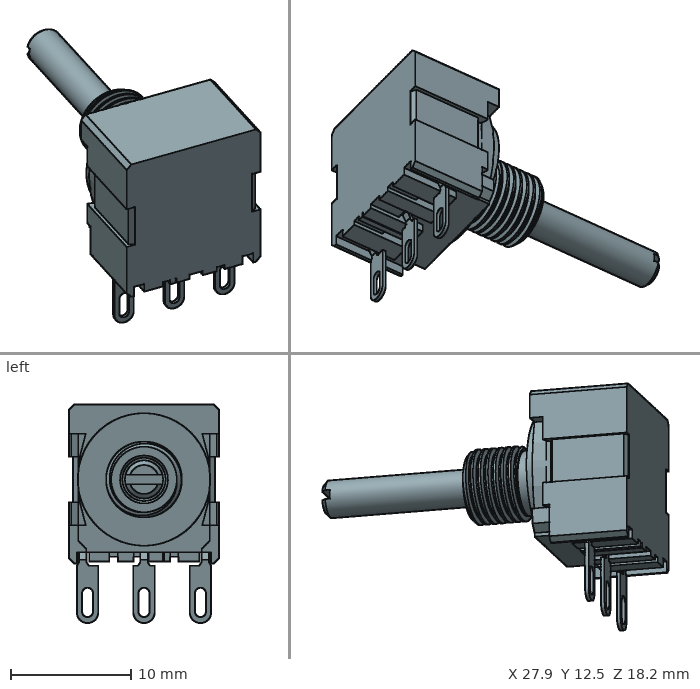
import cadquery as cq


flange_thickness = 0.5
flange_radius = 5.52
body_length = 8.41
overall_length = 27.94
shaft_length = overall_length - body_length - flange_thickness
shaft_radius = 3.175 / 2
shaft_chamfer = 0.38
driver_slot_depth = 0.8
driver_slot_width = 0.76
bushing_length = 6.35
neck_length = 1.57
neck_radius = 2.73
thread_crest_radius = 3.16
thread_pitch = 0.654
thread_lead_in = 0.23
thread_crest_width = 0.2
thread_base_width = 0.58
thread_runout = 0.35
thread_overlap = 0.1
bore_radius = 1.8
bore_chamfer = 0.2

body_half_width = 6.25
body_top = 6.25
body_bottom = -7.0
edge_chamfer = 0.43
core_half_width = 5.47
core_bottom = -6.08
core_corner_chamfer = 0.65
core_corner_rise = 0.31
leg_inner = 5.57
leg_front = 1.7

recess_half_height = 1.88
recess_face = 5.93
recess_slope_front = 1.61
recess_slope_run = 0.27
recess_slope_rear = 8.35

notch_half_height = 3.82
notch_depth = 1.12
notch_inner_depth = 1.35
notch_lip = 6.05
plate_thickness = 1.19
plate_edge_inner = 4.85
plate_edge_middle = 5.35
plate_edge_flat = 0.3

terminal_spacing = 4.7
terminal_front = 4.6
terminal_thickness = 0.32
terminal_width = 1.8
terminal_tip = -11.97
terminal_shoulder = -7.17
eyelet_width = 0.9
eyelet_top = -9.03
eyelet_bottom = -11.45
neck_width = 0.65
outer_neck_shift = 0.4
bend_height = -6.68
bend_offset = 0.35
flare_height = 0.27
neck_embed = 0.3

wafer_blocks = [(2.89, 4.58), (0.87, 2.17), (-1.58, -0.38), (-2.17, -1.67), (-4.61, -2.86)]
wafer_front = 3.2
wafer_bottom = -6.85
web_bottom = -6.44
web_half_width = 2.89
web_front = 5.6


def box(x_range, y_range, z_range):
    """Axis-aligned box between pairs of limits."""
    size = [end - start for start, end in (x_range, y_range, z_range)]
    origin = (x_range[0], y_range[0], z_range[0])
    return cq.Workplane("XY").box(*size, centered=False).translate(origin)


def rod(start, end, radius):
    """Cylinder on the X axis."""
    return cq.Workplane("YZ", origin=(start, 0, 0)).circle(radius).extrude(end - start)


def both_sides(shape):
    """The shape together with its mirror image across the XZ plane."""
    return shape.union(shape.mirror("XZ"))


def plan_prism(points, z_range):
    """Prism along Z from an outline in X and Y."""
    base = cq.Workplane("XY", origin=(0, 0, z_range[0]))
    return base.polyline(points).close().extrude(z_range[1] - z_range[0])


def make_housing():
    body = box((0, body_length), (-body_half_width, body_half_width), (body_bottom, body_top))
    body = body.edges("|X").chamfer(edge_chamfer)

    body = body.cut(box((0, body_length), (-leg_inner, leg_inner), (body_bottom, core_bottom)))

    outside = body_half_width
    recess = plan_prism(
        [
            (0, outside),
            (0, core_half_width),
            (recess_slope_front, core_half_width),
            (recess_slope_front + recess_slope_run, recess_face),
            (recess_slope_rear - recess_slope_run, recess_face),
            (recess_slope_rear, core_half_width),
            (body_length, core_half_width),
            (body_length, outside),
        ],
        (-recess_half_height, recess_half_height),
    )
    notch = plan_prism(
        [
            (0, outside),
            (0, core_half_width),
            (notch_inner_depth, core_half_width),
            (notch_depth, notch_lip),
            (notch_depth, outside),
        ],
        (-notch_half_height, notch_half_height),
    )
    leg_clearance = box((0, leg_front), (core_half_width, outside), (body_bottom, -notch_half_height))
    plate_edge = (
        cq.Workplane("YZ")
        .moveTo(leg_inner, notch_half_height)
        .lineTo(plate_edge_inner, notch_half_height)
        .lineTo(plate_edge_middle, recess_half_height)
        .lineTo(core_half_width, plate_edge_flat)
        .lineTo(core_half_width, -plate_edge_flat)
        .lineTo(plate_edge_middle, -recess_half_height)
        .lineTo(plate_edge_inner, -notch_half_height)
        .lineTo(leg_inner, -notch_half_height)
        .close()
        .extrude(plate_thickness)
    )
    corner = (
        cq.Workplane("YZ")
        .moveTo(core_half_width, core_bottom)
        .lineTo(core_half_width, core_bottom + core_corner_rise + core_corner_chamfer)
        .lineTo(core_half_width - core_corner_chamfer, core_bottom + core_corner_rise)
        .lineTo(core_half_width - core_corner_chamfer, core_bottom)
        .close()
        .extrude(leg_front)
    )
    for cutter in (recess, notch, leg_clearance, plate_edge, corner):
        body = body.cut(both_sides(cutter))
    return body


def helix(start, length, radius):
    """Right-handed helix around the X axis."""
    wire = cq.Wire.makeHelix(thread_pitch, length, radius)
    return wire.rotate(cq.Vector(0, 0, 0), cq.Vector(0, 1, 0), 90).translate(cq.Vector(start, 0, 0))


def make_thread_ridge(start, length):
    """Helical ridge with a trapezoid section, closed by flat ends."""
    base_radius = neck_radius - thread_overlap
    section = [
        (-thread_base_width / 2, base_radius),
        (-thread_crest_width / 2, thread_crest_radius),
        (thread_crest_width / 2, thread_crest_radius),
        (thread_base_width / 2, base_radius),
    ]
    rails = [helix(start + shift, length, radius) for shift, radius in section]
    faces = []
    for index, rail in enumerate(rails):
        next_rail = rails[(index + 1) % len(rails)]
        faces.extend(cq.Face.makeRuledSurface(rail, next_rail).Faces())
    for end in (0, 1):
        corners = [rail.positionAt(end) for rail in rails]
        faces.append(cq.Face.makeFromWires(cq.Wire.makePolygon(corners, close=True)))
    return cq.Workplane(obj=cq.Solid.makeSolid(cq.Shell.makeShell(faces)).fix())


def make_thread(start, end):
    """Thread core and ridge trimmed to the threaded length and its end chamfers."""
    ridge = make_thread_ridge(start - thread_lead_in, end - start + thread_pitch)
    envelope_radius = thread_crest_radius + thread_overlap
    envelope = rod(start, end, envelope_radius)
    envelope = envelope.faces("<X").chamfer(envelope_radius - neck_radius)
    envelope = envelope.faces(">X").chamfer(thread_runout)
    core = rod(start, end, neck_radius).intersect(envelope)
    return core.union(ridge.intersect(envelope))


def make_bushing():
    face = -flange_thickness
    front = face - bushing_length
    thread_end = face - neck_length
    flange = rod(face, 0, flange_radius)
    neck = rod(thread_end, face, neck_radius)
    bushing = flange.union(neck).union(make_thread(front, thread_end))
    bore = rod(front, face, bore_radius)
    mouth = cq.Workplane(obj=cq.Solid.makeCone(
        bore_radius + bore_chamfer,
        bore_radius,
        bore_chamfer,
        pnt=cq.Vector(front, 0, 0),
        dir=cq.Vector(1, 0, 0),
    ))
    return bushing.cut(bore).cut(mouth)


def make_shaft():
    tip = -flange_thickness - shaft_length
    shaft = rod(tip, 0, shaft_radius).faces("<X").chamfer(shaft_chamfer)
    half_slot = driver_slot_width / 2
    slot = box((tip, tip + driver_slot_depth), (-shaft_radius, shaft_radius), (-half_slot, half_slot))
    return shaft.cut(slot)


def make_terminal(center, neck_center):
    back = terminal_front + terminal_thickness
    radius = terminal_width / 2
    blade = (
        cq.Workplane("YZ", origin=(terminal_front, center, 0))
        .moveTo(-radius, terminal_shoulder)
        .lineTo(-radius, terminal_tip + radius)
        .threePointArc((0, terminal_tip), (radius, terminal_tip + radius))
        .lineTo(radius, terminal_shoulder)
        .close()
        .extrude(terminal_thickness)
    )
    eyelet = (
        cq.Workplane("YZ", origin=(terminal_front, center, (eyelet_top + eyelet_bottom) / 2))
        .slot2D(eyelet_top - eyelet_bottom, eyelet_width, 90)
        .extrude(terminal_thickness)
    )
    neck = (
        cq.Workplane("XZ", origin=(0, neck_center + neck_width / 2, 0))
        .moveTo(terminal_front, terminal_shoulder)
        .lineTo(terminal_front, bend_height)
        .lineTo(terminal_front + bend_offset, core_bottom)
        .lineTo(terminal_front + bend_offset, core_bottom + neck_embed)
        .lineTo(back + bend_offset, core_bottom + neck_embed)
        .lineTo(back + bend_offset, core_bottom)
        .lineTo(back, bend_height)
        .lineTo(back, terminal_shoulder)
        .close()
        .extrude(neck_width)
    )
    flare_width = radius - outer_neck_shift
    flare = (
        cq.Workplane("YZ", origin=(terminal_front, neck_center, terminal_shoulder))
        .moveTo(-flare_width, 0)
        .lineTo(-neck_width / 2, flare_height)
        .lineTo(neck_width / 2, flare_height)
        .lineTo(flare_width, 0)
        .close()
        .extrude(terminal_thickness)
    )
    return blade.cut(eyelet).union(neck).union(flare)


def make_wafer():
    wafer = box((web_front, body_length), (-web_half_width, web_half_width), (web_bottom, core_bottom))
    for block in wafer_blocks:
        wafer = wafer.union(box((wafer_front, body_length), block, (wafer_bottom, core_bottom)))
    return wafer


result = make_housing().union(make_wafer()).union(make_bushing()).union(make_shaft())
for side in (-1, 0, 1):
    center = side * terminal_spacing
    result = result.union(make_terminal(center, center + side * outer_neck_shift))